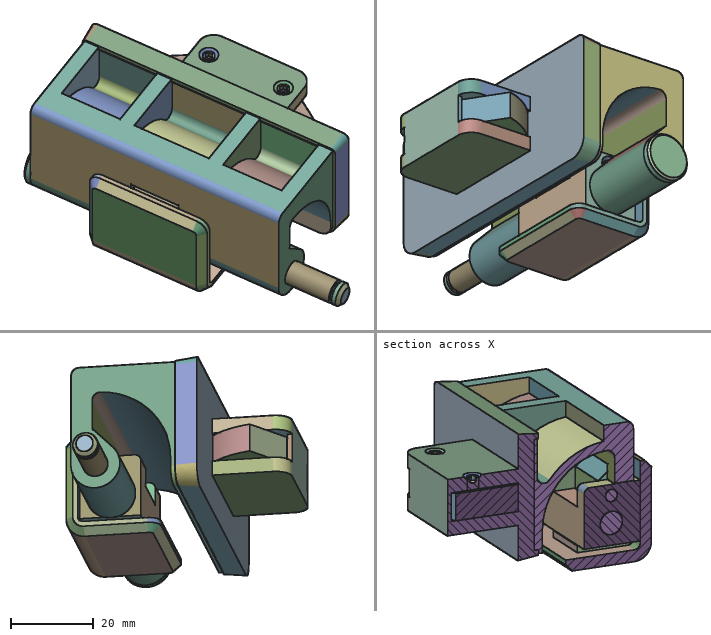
import cadquery as cq
import math


PIN_Y = 10.8
PIN_Z = 10.8

HOUSING_LENGTH = 69.9
HOUSING_TOP = 35.9
HOUSING_BOTTOM = 5.7
HOUSING_END_RADIUS = 3.5
KNUCKLE_RADIUS = 6.0
WALL_FRONT = PIN_Y - KNUCKLE_RADIUS
WALL_BACK = 10.0
TOP_EDGE_RADIUS = 2.0
ARCH_CORNER_RADIUS = 2.0
ARCH_RADIUS = 18.0
ARCH_Y = 11.2
ARCH_Z = 11.3
ARCH_SHELL = 2.6
POCKET_FRONT = 12.9
POCKET_FILLET = 1.8
POCKET_UNDERCUT = 0.3
RIB_THICKNESS = 4.0
MIDDLE_POCKET_LENGTH = 21.0
SIDE_POCKET_LENGTH = (HOUSING_LENGTH - MIDDLE_POCKET_LENGTH) / 2 - 2 * RIB_THICKNESS

PLATE_FRONT = 30.4
PLATE_THICKNESS = 5.5
PLATE_BACK = PLATE_FRONT + PLATE_THICKNESS
POCKET_BACK = PLATE_FRONT + POCKET_UNDERCUT
PLATE_LENGTH = 72.3
PLATE_BOTTOM = 4.7
PLATE_TOP = 37.0
PLATE_TAPER = 6.5
PLATE_TOP_RADIUS = 1.8
PLATE_BOTTOM_RADIUS = 4.5
TENON_DEPTH = 1.1
TENON_INSET = 1.0

LUG_WIDTH = 29.6
LUG_END = 54.7
LUG_BOTTOM = 13.7
LUG_HEIGHT = 14.4
LUG_CORNER_RADIUS = 4.0
LUG_WEB = 1.1
JAW_THICKNESS = 3.65
SLOT_BOTTOM = LUG_BOTTOM + JAW_THICKNESS
SLOT_HEIGHT = LUG_HEIGHT - 2 * JAW_THICKNESS

CAM_RADIUS = 21.0
CAM_CENTER_Y = 51.7
CAM_TIP_X = 20.2
CAM_TOP_HALF = 9.5
CAM_TOP_Y = 53.25
CAM_GAP = 0.3

SCREW_RADIUS = 1.5
SCREW_SINK = 0.3
SCREW_LENGTH = JAW_THICKNESS - SCREW_SINK
COUNTERSINK_DEPTH = 0.9
COUNTERSINK_HALF_ANGLE = 45
SOCKET_WIDTH = 1.7
SOCKET_DEPTH = 1.2
DRILL_HALF_ANGLE = 60
DRILL_CONE_DEPTH = 0.4
LUG_SCREW_SPACING = 21.0
LUG_SCREW_Y = 47.9
BLOCK_SCREW_Z = 17.75

SHAFT_RADIUS = 3.05
HEAD_LENGTH = 2.0
HEAD_CHAMFER = 0.5
PIN_LENGTH = 87.0
GROOVE_RADIUS = 2.35
GROOVE_WIDTH = 0.8
GROOVE_TO_END = 2.1
TIP_CHAMFER = 1.0

COVER_WIDTH = 33.1
COVER_HEIGHT = 25.5
COVER_DEPTH = 23.1
COVER_THICKNESS = 3.1
COVER_BEND_RADIUS = 1.5
COVER_CORNER_RADIUS = 3.0
COVER_CHAMFER = 1.9
PAD_HEIGHT = 1.7

BLOCK_WIDTH = 26.7
BLOCK_BACK = 18.1
BLOCK_BOTTOM = 5.05
BLOCK_TOP = 20.6
BLOCK_CORNER_RADIUS = 1.5
KEY_SLOT_WIDTH = 13.4
KEY_SLOT_FLOOR = 14.8
KEY_WIDTH = 12.6
KEY_PEAK_Y = 7.1
KEY_PEAK_Z = 24.5
KEY_FRONT = 3.9
KEY_BACK = 12.35
KEY_TILT = math.radians(38)


def box(x_range, y_range, z_range):
    """Box between two corners, each range a (low, high) pair."""
    size = [high - low for low, high in (x_range, y_range, z_range)]
    solid = cq.Workplane("XY").box(*size, centered=False)
    return solid.translate((x_range[0], y_range[0], z_range[0]))


def centered(width):
    """X range of the given width about the mid-plane."""
    return (-width / 2, width / 2)


def side_profile(x=0.0):
    """Workplane at the given X, with local axes along Y and Z."""
    return cq.Workplane("YZ", origin=(x, 0, 0))


def pin_bore():
    return (
        side_profile(-HOUSING_LENGTH / 2)
        .center(PIN_Y, PIN_Z)
        .circle(SHAFT_RADIUS)
        .extrude(HOUSING_LENGTH)
    )



def housing_beam():
    """Beam with an arch below; its front wall runs down into the knuckle around the pin."""
    diagonal = math.sqrt(0.5)
    knuckle_offset = KNUCKLE_RADIUS * diagonal
    tangent_y = PIN_Y + knuckle_offset
    tangent_z = PIN_Z + knuckle_offset
    knuckle_low = (PIN_Y + knuckle_offset, PIN_Z - knuckle_offset)
    arch_corner_z = ARCH_Z + math.sqrt(ARCH_RADIUS**2 - (WALL_BACK - ARCH_Y) ** 2)
    beam = (
        side_profile(-HOUSING_LENGTH / 2)
        .moveTo(PLATE_FRONT, HOUSING_TOP)
        .lineTo(WALL_FRONT, HOUSING_TOP)
        .lineTo(WALL_FRONT, PIN_Z)
        .threePointArc(knuckle_low, (tangent_y, tangent_z))
        .lineTo(WALL_BACK, tangent_z + tangent_y - WALL_BACK)
        .lineTo(WALL_BACK, arch_corner_z)
        .threePointArc(
            (ARCH_Y + ARCH_RADIUS * diagonal, ARCH_Z + ARCH_RADIUS * diagonal),
            (ARCH_Y + ARCH_RADIUS, ARCH_Z),
        )
        .lineTo(ARCH_Y + ARCH_RADIUS, HOUSING_BOTTOM)
        .lineTo(PLATE_FRONT, HOUSING_BOTTOM)
        .close()
        .extrude(HOUSING_LENGTH)
    )
    top_front_edge = cq.selectors.NearestToPointSelector((0, WALL_FRONT, HOUSING_TOP))
    beam = beam.edges(top_front_edge).fillet(TOP_EDGE_RADIUS)
    arch_corner_edge = cq.selectors.NearestToPointSelector((0, WALL_BACK, arch_corner_z))
    beam = beam.edges(arch_corner_edge).fillet(ARCH_CORNER_RADIUS)
    for end in (-1, 1):
        foot_corner = (end * HOUSING_LENGTH / 2, (ARCH_Y + ARCH_RADIUS + PLATE_FRONT) / 2, HOUSING_BOTTOM)
        beam = beam.edges(cq.selectors.NearestToPointSelector(foot_corner)).fillet(HOUSING_END_RADIUS)
    return beam


def pocket(x_center, length):
    """Pocket whose floor follows the arch and whose back wall is cut slightly into the tenon."""
    floor_radius = ARCH_RADIUS + ARCH_SHELL
    fillet_y = POCKET_BACK - POCKET_FILLET
    fillet_offset = fillet_y - ARCH_Y
    fillet_rise = math.sqrt((floor_radius + POCKET_FILLET) ** 2 - fillet_offset**2)
    fillet_z = ARCH_Z + fillet_rise
    tangent_scale = floor_radius / (floor_radius + POCKET_FILLET)
    front_rise = math.sqrt(floor_radius**2 - (POCKET_FRONT - ARCH_Y) ** 2)
    return (
        side_profile(x_center - length / 2)
        .moveTo(POCKET_FRONT, HOUSING_TOP)
        .lineTo(POCKET_FRONT, ARCH_Z + front_rise)
        .radiusArc(
            (ARCH_Y + fillet_offset * tangent_scale, ARCH_Z + fillet_rise * tangent_scale),
            floor_radius,
        )
        .radiusArc((POCKET_BACK, fillet_z), -POCKET_FILLET)
        .lineTo(POCKET_BACK, HOUSING_TOP)
        .close()
        .extrude(length)
    )


def tenon():
    """Low step on the housing's back that seats in the mounting plate."""
    return (
        box(
            centered(HOUSING_LENGTH - 2 * TENON_INSET),
            (PLATE_FRONT, PLATE_FRONT + TENON_DEPTH),
            (HOUSING_BOTTOM + TENON_INSET, HOUSING_TOP - TENON_INSET),
        )
        .edges("|Y and <Z")
        .fillet(HOUSING_END_RADIUS - TENON_INSET)
    )


def make_housing():
    side_pocket_x = (MIDDLE_POCKET_LENGTH + SIDE_POCKET_LENGTH) / 2 + RIB_THICKNESS
    housing = housing_beam().union(tenon())
    housing = housing.cut(pocket(0, MIDDLE_POCKET_LENGTH))
    for x in (-side_pocket_x, side_pocket_x):
        housing = housing.cut(pocket(x, SIDE_POCKET_LENGTH))
    block_notch = box(centered(BLOCK_WIDTH), (0, BLOCK_BACK), (0, BLOCK_TOP))
    key_notch = box(centered(KEY_SLOT_WIDTH), (0, BLOCK_BACK), (0, KEY_PEAK_Z))
    return housing.cut(block_notch).cut(key_notch).cut(pin_bore())



def tapered_plate():
    """Plate that narrows toward the housing, with its corners rounded."""
    half = PLATE_LENGTH / 2
    top, bottom = PLATE_TOP_RADIUS, PLATE_BOTTOM_RADIUS
    return (
        cq.Workplane("XZ", origin=(0, PLATE_BACK, 0))
        .moveTo(-half + top, PLATE_TOP)
        .lineTo(half - top, PLATE_TOP)
        .radiusArc((half, PLATE_TOP - top), top)
        .lineTo(half, PLATE_BOTTOM + bottom)
        .radiusArc((half - bottom, PLATE_BOTTOM), bottom)
        .lineTo(-half + bottom, PLATE_BOTTOM)
        .radiusArc((-half, PLATE_BOTTOM + bottom), bottom)
        .lineTo(-half, PLATE_TOP - top)
        .radiusArc((-half + top, PLATE_TOP), top)
        .close()
        .extrude(PLATE_THICKNESS, taper=PLATE_TAPER)
    )


def forked_lug():
    """Two jaws joined at their far end by a thin web."""
    lug = box(
        centered(LUG_WIDTH), (PLATE_BACK, LUG_END), (LUG_BOTTOM, LUG_BOTTOM + LUG_HEIGHT)
    )
    lug = lug.edges("|Z and >Y").fillet(LUG_CORNER_RADIUS)
    slot_z = (SLOT_BOTTOM, SLOT_BOTTOM + SLOT_HEIGHT)
    web_width = LUG_WIDTH - 2 * LUG_CORNER_RADIUS
    web = box(centered(web_width), (LUG_END - LUG_WEB, LUG_END), slot_z)
    slot = box(centered(LUG_WIDTH), (PLATE_BACK, LUG_END), slot_z).cut(web)
    return lug.cut(slot)


def lug_screw_places():
    """Screw-hole mouths on the top of the lug."""
    return [
        cq.Plane((x, LUG_SCREW_Y, LUG_BOTTOM + LUG_HEIGHT), (1, 0, 0), (0, 0, 1))
        for x in (-LUG_SCREW_SPACING / 2, LUG_SCREW_SPACING / 2)
    ]


def make_mounting_plate():
    plate = tapered_plate().cut(tenon()).union(forked_lug())
    for place in lug_screw_places():
        plate = plate.cut(screw_hole(place))
    return plate


def make_cam():
    """Sector-shaped cam that fills the slot and bears on the plate."""
    base_half = math.sqrt(CAM_RADIUS**2 - (CAM_CENTER_Y - PLATE_BACK) ** 2)
    tip_y = CAM_CENTER_Y - math.sqrt(CAM_RADIUS**2 - CAM_TIP_X**2)
    return (
        cq.Workplane("XY", origin=(0, 0, SLOT_BOTTOM))
        .moveTo(-CAM_TOP_HALF, CAM_TOP_Y)
        .lineTo(CAM_TOP_HALF, CAM_TOP_Y)
        .lineTo(CAM_TIP_X, tip_y)
        .radiusArc((base_half, PLATE_BACK), CAM_RADIUS)
        .lineTo(-base_half, PLATE_BACK)
        .radiusArc((-CAM_TIP_X, tip_y), CAM_RADIUS)
        .close()
        .extrude(SLOT_HEIGHT - CAM_GAP)
    )



def screw_hole(place):
    """Round hole with a countersunk mouth."""
    mouth = (
        cq.Workplane(place)
        .circle(SCREW_RADIUS + COUNTERSINK_DEPTH * math.tan(math.radians(COUNTERSINK_HALF_ANGLE)))
        .extrude(-COUNTERSINK_DEPTH, taper=COUNTERSINK_HALF_ANGLE)
    )
    return mouth.union(cq.Workplane(place).circle(SCREW_RADIUS).extrude(-SCREW_SINK - SCREW_LENGTH))


def make_set_screw(place):
    """Headless screw just below the hole's mouth, with a hexagon socket ending in a drill cone."""
    across_corners = SOCKET_WIDTH / math.cos(math.radians(30))
    drill_radius = SOCKET_WIDTH / 2
    screw_top = cq.Workplane(place).workplane(offset=-SCREW_SINK)
    socket = screw_top.polygon(6, across_corners).extrude(-SOCKET_DEPTH)
    cone = (
        screw_top.workplane(offset=-SOCKET_DEPTH)
        .circle(drill_radius)
        .extrude(-DRILL_CONE_DEPTH, taper=DRILL_HALF_ANGLE)
    )
    return screw_top.circle(SCREW_RADIUS).extrude(-SCREW_LENGTH).cut(socket).cut(cone)



def make_pin():
    """Headed pin with a retaining-ring groove near its far end."""
    head_start = -HOUSING_LENGTH / 2 - HEAD_LENGTH
    tip = head_start + PIN_LENGTH
    groove_start = tip - GROOVE_TO_END - GROOVE_WIDTH

    def cylinder(start, length, radius):
        return side_profile(start).center(PIN_Y, PIN_Z).circle(radius).extrude(length)

    head = cylinder(head_start, HEAD_LENGTH, KNUCKLE_RADIUS).faces("<X").chamfer(HEAD_CHAMFER)
    shaft = cylinder(head_start, PIN_LENGTH, SHAFT_RADIUS).faces(">X").chamfer(TIP_CHAMFER)
    groove = cylinder(groove_start, GROOVE_WIDTH, SHAFT_RADIUS).cut(
        cylinder(groove_start, GROOVE_WIDTH, GROOVE_RADIUS)
    )
    return head.union(shaft).cut(groove)



def make_cover():
    """Bent plate with rounded corners, a bevelled outer rim and a narrow pad on its floor."""
    outer_bend = COVER_BEND_RADIUS + COVER_THICKNESS
    cover = (
        side_profile(-COVER_WIDTH / 2)
        .moveTo(0, COVER_HEIGHT)
        .lineTo(0, outer_bend)
        .radiusArc((outer_bend, 0), -outer_bend)
        .lineTo(COVER_DEPTH, 0)
        .lineTo(COVER_DEPTH, COVER_THICKNESS)
        .lineTo(outer_bend, COVER_THICKNESS)
        .radiusArc((COVER_THICKNESS, outer_bend), COVER_BEND_RADIUS)
        .lineTo(COVER_THICKNESS, COVER_HEIGHT)
        .close()
        .extrude(COVER_WIDTH)
    )
    cover = cover.edges("(|Y and >Z) or (|Z and >Y)").fillet(COVER_CORNER_RADIUS)
    cover = cover.faces("<Y").edges(">Z").chamfer(COVER_CHAMFER)
    pad = box(
        centered(KEY_SLOT_WIDTH),
        (COVER_THICKNESS / 2, BLOCK_BACK),
        (COVER_THICKNESS / 2, COVER_THICKNESS + PAD_HEIGHT),
    )
    return cover.union(pad)


def block_screw_place():
    """Screw-hole mouth on the left end of the block, straight above the pin."""
    return cq.Plane((-BLOCK_WIDTH / 2, PIN_Y, BLOCK_SCREW_Z), (0, 1, 0), (-1, 0, 0))


def make_block():
    block = box(centered(BLOCK_WIDTH), (COVER_THICKNESS, BLOCK_BACK), (BLOCK_BOTTOM, BLOCK_TOP))
    block = block.edges("|X and >Y and >Z").fillet(BLOCK_CORNER_RADIUS)
    key_slot = box(
        centered(KEY_SLOT_WIDTH), (COVER_THICKNESS, BLOCK_BACK), (KEY_SLOT_FLOOR, BLOCK_TOP)
    )
    return block.cut(key_slot).cut(pin_bore()).cut(screw_hole(block_screw_place()))


def make_key():
    """Bar with a square-cornered, tilted ridge that rises into the housing's front wall."""
    front_drop = (KEY_PEAK_Y - KEY_FRONT) / math.tan(KEY_TILT)
    back_drop = (KEY_BACK - KEY_PEAK_Y) * math.tan(KEY_TILT)
    return (
        side_profile(-KEY_WIDTH / 2)
        .moveTo(KEY_FRONT, KEY_SLOT_FLOOR)
        .lineTo(KEY_FRONT, KEY_PEAK_Z - front_drop)
        .lineTo(KEY_PEAK_Y, KEY_PEAK_Z)
        .lineTo(KEY_BACK, KEY_PEAK_Z - back_drop)
        .lineTo(KEY_BACK, KEY_SLOT_FLOOR)
        .close()
        .extrude(KEY_WIDTH)
    )


housing = make_housing()
mounting_plate = make_mounting_plate()
cam = make_cam()
pin = make_pin()
cover = make_cover()
block = make_block()
key = make_key()
set_screws = [make_set_screw(place) for place in [*lug_screw_places(), block_screw_place()]]

result = cq.Compound.makeCompound(
    [
        housing.val(),
        mounting_plate.val(),
        cam.val(),
        pin.val(),
        cover.val(),
        block.val(),
        key.val(),
        *[screw.val() for screw in set_screws],
    ]
)